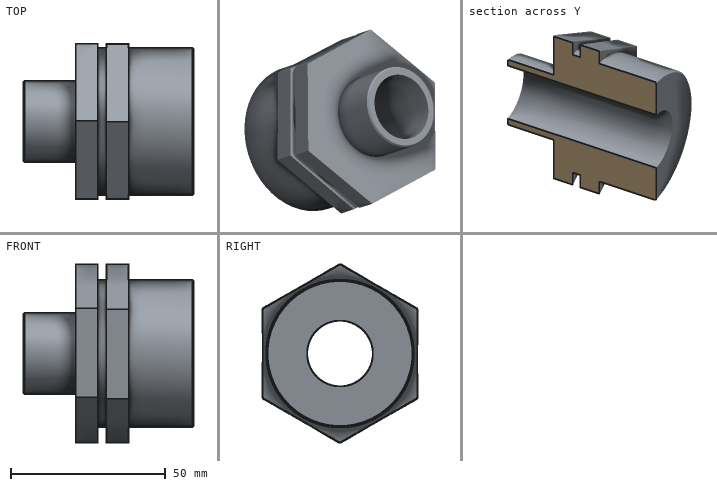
import cadquery as cq
import math

total_length = 55.0
small_length = 16.9
large_length = total_length - small_length
small_diameter = 26.44
large_diameter = 47.8
bore_diameter = 21.15
end_chamfer = 0.5

across_flats = 50.0
across_corners = across_flats / math.cos(math.radians(30))
hex_thickness = 7.2
hex_gap = 2.7
second_hex_start = small_length + hex_thickness + hex_gap

corner_up_angle = 90.0
first_hex_tilt = -0.54
second_hex_tilt = 0.25


def cylinder(start, length, diameter):
    """Round bar along +X beginning at X = start."""
    return cq.Workplane("YZ", origin=(start, 0, 0)).circle(diameter / 2).extrude(length)


def wrench_hexagon(start, tilt):
    """Hexagonal plate with a corner pointing up, turned by tilt about X."""
    outline = cq.Workplane("YZ", origin=(start, 0, 0)).polygon(6, across_corners)
    plate = outline.extrude(hex_thickness)
    return plate.rotate((0, 0, 0), (1, 0, 0), corner_up_angle + tilt)


small_end = cylinder(0, small_length, small_diameter).faces("<X").chamfer(end_chamfer)
large_end = cylinder(small_length, large_length, large_diameter).faces(">X").chamfer(end_chamfer)

first_hex = wrench_hexagon(small_length, first_hex_tilt)
second_hex = wrench_hexagon(second_hex_start, second_hex_tilt)

bore = cylinder(0, total_length, bore_diameter)

result = small_end.union(large_end).union(first_hex).union(second_hex).cut(bore)